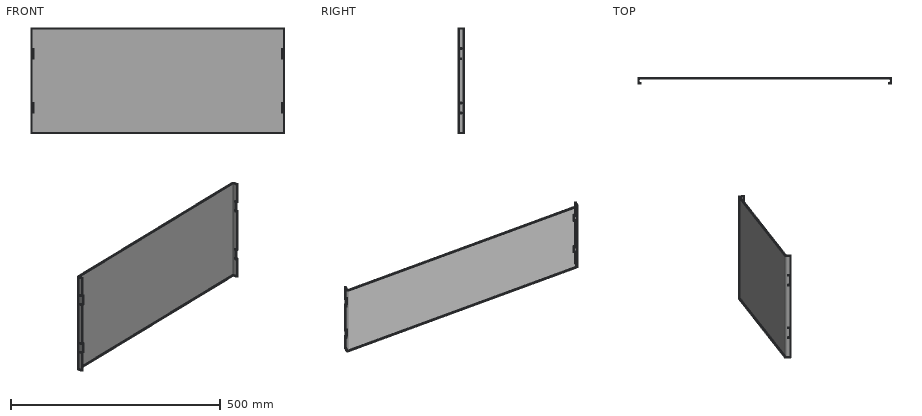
import cadquery as cq

panel_length = 604.0
flange_depth = 12.5
panel_height = 250.0
sheet_thickness = 1.0

flange_inner_radius = 0.9
flange_outer_radius = flange_inner_radius + sheet_thickness

tab_width = 23.0
tab_length = 5.15
tab_spacing = 129.0
tab_setback = 0.3
tab_inner_radius = 1.5
tab_outer_radius = tab_inner_radius + sheet_thickness

relief_width = sheet_thickness
relief_depth = 6.0

half_length = panel_length / 2
half_height = panel_height / 2
tab_centers = (half_height - tab_spacing / 2, half_height + tab_spacing / 2)

flange_edge_y = -flange_depth
relief_root_y = flange_edge_y + relief_depth


def make_channel():
    """Flat panel with an end flange folded towards -Y at each side."""
    outer = (
        cq.Workplane("XY")
        .center(0, flange_edge_y / 2)
        .rect(panel_length, flange_depth)
        .extrude(panel_height)
        .edges("|Z and >Y")
        .fillet(flange_outer_radius)
    )
    cavity_depth = flange_depth - sheet_thickness
    cavity = (
        cq.Workplane("XY")
        .center(0, flange_edge_y + cavity_depth / 2)
        .rect(panel_length - 2 * sheet_thickness, cavity_depth)
        .extrude(panel_height)
        .edges("|Z and >Y")
        .fillet(flange_inner_radius)
    )
    return outer.cut(cavity)


def make_notch(center_z):
    """Block that opens both flange edges for a pair of tabs and their reliefs."""
    notch_height = tab_width + 2 * relief_width
    return (
        cq.Workplane("XY")
        .box(panel_length, relief_depth, notch_height, centered=(True, False, True))
        .translate((0, flange_edge_y, center_z))
    )


def make_tab(center_z):
    """Tab at the -X flange, bent through a right angle towards +X."""
    outer_x = -half_length
    inner_x = outer_x + sheet_thickness
    bend_x = outer_x + tab_outer_radius
    tip_x = outer_x + tab_length
    face_y = flange_edge_y + tab_setback
    back_y = face_y + sheet_thickness
    bend_y = face_y + tab_outer_radius
    profile = (
        cq.Workplane("XY", origin=(0, 0, center_z - tab_width / 2))
        .moveTo(outer_x, relief_root_y)
        .lineTo(outer_x, bend_y)
        .radiusArc((bend_x, face_y), -tab_outer_radius)
        .lineTo(tip_x, face_y)
        .lineTo(tip_x, back_y)
        .lineTo(bend_x, back_y)
        .radiusArc((inner_x, bend_y), tab_inner_radius)
        .lineTo(inner_x, relief_root_y)
        .close()
    )
    return profile.extrude(tab_width)


result = make_channel()
for center_z in tab_centers:
    left_tab = make_tab(center_z)
    right_tab = left_tab.mirror("YZ")
    result = result.cut(make_notch(center_z)).union(left_tab).union(right_tab)